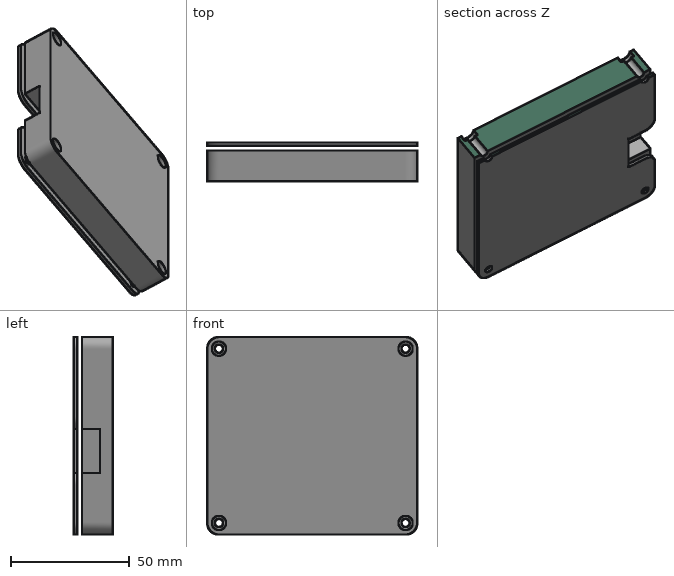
import cadquery as cq

width = 88.5
height = 83.25
corner_radius = 4.95

housing_depth = 13.0
lid_gap = 1.95
lid_thickness = 1.5
lid_front_y = housing_depth + lid_gap

notch_width = 18.5
notch_bottom = 25.9
notch_depth_y = 7.5
notch_reach = 13.3

screw_diameter = 3.4
head_diameter = 6.0
head_depth = 3.0

left_x = -width / 2
notch_center_z = -height / 2 + notch_bottom + notch_width / 2
screw_spacing_x = width - 2 * corner_radius
screw_spacing_z = height - 2 * corner_radius


def plate(front_y, thickness):
    """Rectangular plate in XZ, running in +Y from its front face."""
    return cq.Workplane("XZ", origin=(0, front_y, 0)).rect(width, height).extrude(-thickness)


def corner_cylinders(diameter, front_y, length):
    """Four cylinders on the screw axes, running in +Y."""
    return (
        cq.Workplane("XZ", origin=(0, front_y, 0))
        .rect(screw_spacing_x, screw_spacing_z, forConstruction=True)
        .vertices()
        .circle(diameter / 2)
        .extrude(-length)
    )


def notch_block(front_y, depth):
    """Block that cuts the cable notch into the -X side."""
    return cq.Workplane("XY").box(
        notch_reach, depth, notch_width, centered=(False, False, True)
    ).translate((left_x, front_y, notch_center_z))


def make_housing():
    """Thick block with counterbored screw holes and a pocket for the cable."""
    body = plate(0, housing_depth).edges("|Y").fillet(corner_radius)
    body = body.cut(corner_cylinders(screw_diameter, 0, housing_depth))
    body = body.cut(corner_cylinders(head_diameter, 0, head_depth))
    return body.cut(notch_block(housing_depth - notch_depth_y, notch_depth_y))


def make_lid():
    """Thin cover; the fillet rounds its outer corners and the mouth of the notch."""
    body = plate(lid_front_y, lid_thickness).cut(notch_block(lid_front_y, lid_thickness))
    body = body.edges("|Y and (<X or >X)").fillet(corner_radius)
    return body.cut(corner_cylinders(screw_diameter, lid_front_y, lid_thickness))


housing = make_housing()
lid = make_lid()

result = cq.Compound.makeCompound([housing.val(), lid.val()])